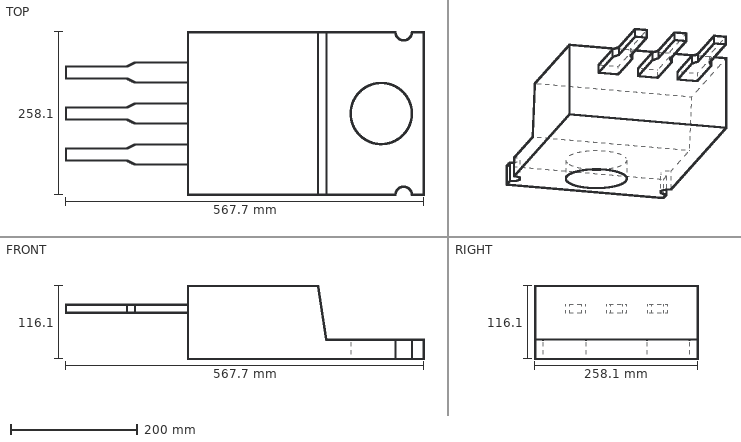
import cadquery as cq

width = 258.06
body_height = 116.13
body_length = 219.35
body_top_length = 206.45

tab_length = 154.84
tab_thickness = 30.97
hole_diameter = 96.77
hole_from_body = 87.10
notch_radius = 12.90
notch_from_tab_end = 32.26

lead_count = 3
lead_pitch = 65.0
lead_length = 193.55
lead_thickness = 12.90
lead_middle_height = 80.0
lead_wide_width = 32.26
lead_narrow_width = 19.35
lead_narrow_length = 96.77
lead_taper_length = 12.90

body_start = lead_length
body_end = body_start + body_length
tab_end = body_end + tab_length


def make_body():
    """Block whose tab end is upright up to the tab's top face, then slopes to the top."""
    return (
        cq.Workplane("XZ")
        .moveTo(body_start, 0)
        .lineTo(body_end, 0)
        .lineTo(body_end, tab_thickness)
        .lineTo(body_start + body_top_length, body_height)
        .lineTo(body_start, body_height)
        .close()
        .extrude(width / 2, both=True)
    )


def make_tab():
    """Flat plate with a mounting hole and a half-round notch in each side edge."""
    plate = (
        cq.Workplane("XY")
        .moveTo((body_end + tab_end) / 2, 0)
        .rect(tab_length, width)
        .extrude(tab_thickness)
    )
    hole = (
        cq.Workplane("XY")
        .moveTo(body_end + hole_from_body, 0)
        .circle(hole_diameter / 2)
        .extrude(tab_thickness)
    )
    notch_x = tab_end - notch_from_tab_end
    notches = (
        cq.Workplane("XY")
        .pushPoints([(notch_x, -width / 2), (notch_x, width / 2)])
        .circle(notch_radius)
        .extrude(tab_thickness)
    )
    return plate.cut(hole).cut(notches)


def make_lead(center_y):
    """Flat lead along X, tapered on both sides from its narrow end to its wide root."""
    half_narrow = lead_narrow_width / 2
    half_wide = lead_wide_width / 2
    taper_end = lead_narrow_length + lead_taper_length
    return (
        cq.Workplane("XY")
        .polyline([
            (0, -half_narrow),
            (lead_narrow_length, -half_narrow),
            (taper_end, -half_wide),
            (body_start, -half_wide),
            (body_start, half_wide),
            (taper_end, half_wide),
            (lead_narrow_length, half_narrow),
            (0, half_narrow),
        ])
        .close()
        .extrude(lead_thickness / 2, both=True)
        .translate((0, center_y, lead_middle_height))
    )


result = make_body().union(make_tab(), clean=False)
for index in range(lead_count):
    lead_y = (index - (lead_count - 1) / 2) * lead_pitch
    result = result.union(make_lead(lead_y), clean=False)